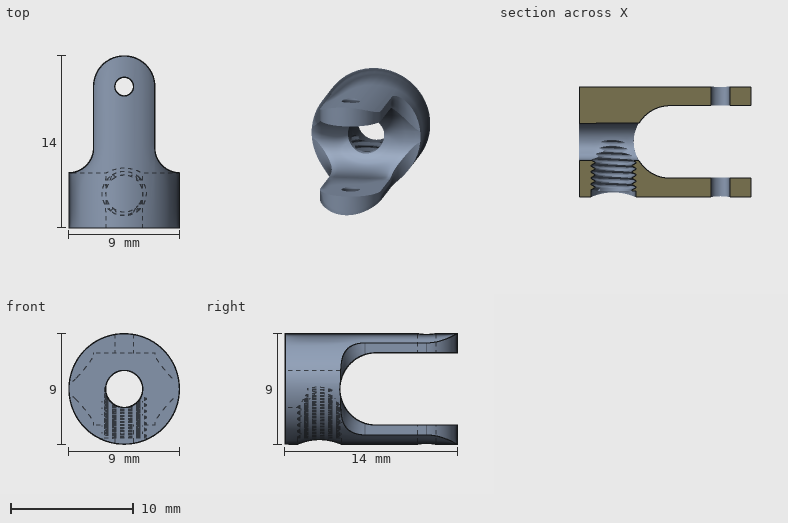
import cadquery as cq
import math

outer_diameter = 9.0
length = 14.0
bore_diameter = 3.0
lug_width = 5.0
pin_diameter = 1.5
slot_height = 5.86
slot_floor_y = 4.46
shoulder_floor_y = 4.5
shoulder_radius = 2.0
screw_y = 2.8
thread_major_diameter = 3.6
thread_minor_diameter = 3.0
thread_pitch = 0.5
thread_flank_angle = 30.0
thread_mouth_overlap = 0.05
thread_entry_depth = 0.5
thread_start_angle = 225

outer_radius = outer_diameter / 2
lug_radius = lug_width / 2
pin_y = length - lug_radius
shoulder_y = shoulder_floor_y + shoulder_radius
slot_radius = slot_height / 2
thread_major_radius = thread_major_diameter / 2
thread_minor_radius = thread_minor_diameter / 2


def cylinder_along_y(diameter, depth):
    return cq.Workplane("XZ").circle(diameter / 2).extrude(-depth)


def lug_outline():
    """Plan shape: full-width barrel, concave shoulders, then a round-ended lug."""
    diagonal = shoulder_radius * math.sqrt(0.5)
    shoulder_x = lug_radius + shoulder_radius
    arc_x = shoulder_x - diagonal
    arc_y = shoulder_y - diagonal
    return (
        cq.Workplane("XY")
        .workplane(offset=-outer_radius)
        .moveTo(-shoulder_x, 0)
        .lineTo(shoulder_x, 0)
        .lineTo(shoulder_x, shoulder_floor_y)
        .threePointArc((arc_x, arc_y), (lug_radius, shoulder_y))
        .lineTo(lug_radius, pin_y)
        .threePointArc((0, length), (-lug_radius, pin_y))
        .lineTo(-lug_radius, shoulder_y)
        .threePointArc((-arc_x, arc_y), (-shoulder_x, shoulder_floor_y))
        .close()
        .extrude(outer_diameter)
    )


def fork_slot():
    """Round-bottomed slot through X that splits the lug in two."""
    round_y = slot_floor_y + slot_radius
    return (
        cq.Workplane("YZ")
        .workplane(offset=-outer_radius)
        .moveTo(length, -slot_radius)
        .lineTo(round_y, -slot_radius)
        .threePointArc((slot_floor_y, 0), (round_y, slot_radius))
        .lineTo(length, slot_radius)
        .close()
        .extrude(outer_diameter)
    )


def pin_hole():
    return (
        cq.Workplane("XY")
        .workplane(offset=-outer_radius)
        .center(0, pin_y)
        .circle(pin_diameter / 2)
        .extrude(outer_diameter)
    )


def screw_hole():
    """Radial set-screw hole from the underside into the bore, with a plain entry."""
    underside = cq.Workplane("XY", origin=(0, screw_y, -outer_radius))
    core = underside.circle(thread_minor_radius).extrude(outer_radius)
    entry = underside.circle(thread_major_radius).extrude(thread_entry_depth)
    return core.union(entry)


def thread_groove():
    """60 degree right-hand V groove that winds up from the plain entry to the bore axis."""
    mouth_radius = thread_minor_radius - thread_mouth_overlap
    groove_depth = thread_major_radius - mouth_radius
    half_root = thread_pitch / 16
    half_mouth = half_root + groove_depth * math.tan(math.radians(thread_flank_angle))
    height = outer_radius - thread_entry_depth
    helix = cq.Wire.makeHelix(thread_pitch, height, thread_minor_radius)
    return (
        cq.Workplane("XZ")
        .moveTo(mouth_radius, -half_mouth)
        .lineTo(thread_major_radius, -half_root)
        .lineTo(thread_major_radius, half_root)
        .lineTo(mouth_radius, half_mouth)
        .close()
        .sweep(helix, isFrenet=True)
        .rotate((0, 0, 0), (0, 0, 1), thread_start_angle)
        .translate((0, screw_y, -height))
    )


result = (
    cylinder_along_y(outer_diameter, length)
    .intersect(lug_outline())
    .cut(fork_slot())
    .cut(cylinder_along_y(bore_diameter, length))
    .cut(pin_hole())
    .cut(screw_hole())
    .cut(thread_groove())
)